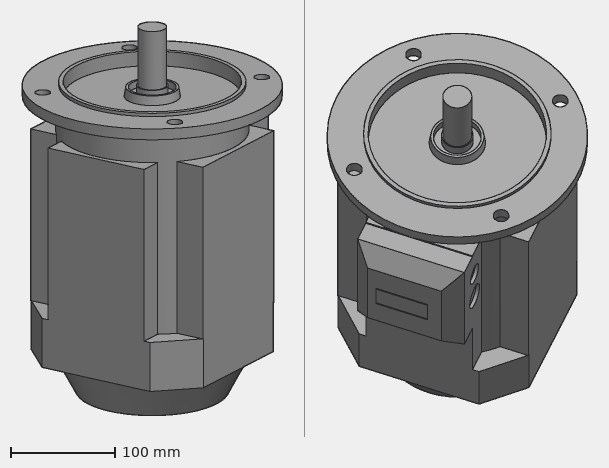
import cadquery as cq

total_height = 370.5
body_bottom = 40.0
notch_floor = 90.0
body_top = 265.3
flange_bottom = 300.0
flange_top = 311.2
spigot_top = 314.5

core_radius = 93.0
body_width = 198.0
body_depth = 196.5
side_rib_width = 124.0
front_rib_width = 110.5
foot_chamfer = (body_width - side_rib_width) / 2

bell_top_radius = 95.2
bell_bottom_radius = 73.7

flange_diameter = 250.0
spigot_radius = 90.0
recess_radius = 85.5
recess_floor = 299.7
bolt_hole_diameter = 15.0
bolt_circle_radius = 107.5
bolt_count = 4
first_bolt_angle = 45

collar_base_radius = 27.0
collar_top_radius = 25.5
collar_bore_radius = 23.0
collar_height = 9.3
collar_bore_depth = 7.5

shaft_diameter = 27.8
shoulder_radius = 15.2
shoulder_top = 311.0

box_width = front_rib_width
box_bottom = 153.5
box_top = 263.8
box_outer_y = 136.0
box_chamfer = 17.0
nameplate_width = 53.5
nameplate_x = 2.5
nameplate_height = 22.2
nameplate_thickness = 0.93

cable_entries = [(231.0, 10.5), (196.7, 12.5)]
cable_entry_y = 92.5
cable_entry_depth = 3.7


def cylinder(radius, bottom, top):
    """Round bar on the motor axis between two heights."""
    return cq.Workplane("XY").workplane(offset=bottom).circle(radius).extrude(top - bottom)


def block(width, depth, bottom, top):
    """Rectangular bar centred on the motor axis between two heights."""
    return cq.Workplane("XY").workplane(offset=bottom).rect(width, depth).extrude(top - bottom)


def make_bell():
    """Downward-narrowing conical end bell."""
    profile = cq.Workplane("XZ").polyline([
        (0, 0),
        (bell_bottom_radius, 0),
        (bell_top_radius, body_bottom),
        (0, body_bottom),
    ]).close()
    return profile.revolve(360, (0, 0, 0), (0, 1, 0))


def make_body():
    """Chamfered square foot below, round core with crossed ribs above."""
    foot = block(body_width, body_depth, body_bottom, notch_floor).edges("|Z").chamfer(foot_chamfer)
    core = cylinder(core_radius, notch_floor, flange_bottom)
    side_ribs = block(body_width, side_rib_width, notch_floor, body_top)
    front_ribs = block(front_rib_width, body_depth, notch_floor, body_top)
    return foot.union(core).union(side_ribs).union(front_ribs)


def make_flange():
    """Flange disc with raised spigot and bolt holes."""
    disc = cylinder(flange_diameter / 2, flange_bottom, flange_top)
    holes = (
        cq.Workplane("XY")
        .workplane(offset=flange_bottom)
        .polarArray(bolt_circle_radius, first_bolt_angle, 360, bolt_count)
        .circle(bolt_hole_diameter / 2)
        .extrude(flange_top - flange_bottom)
    )
    return disc.cut(holes).union(cylinder(spigot_radius, flange_top, spigot_top))


def make_collar():
    """Tapered ring with a shallow annular cup around the shaft."""
    rim_height = recess_floor + collar_height
    cup_floor = rim_height - collar_bore_depth
    profile = cq.Workplane("XZ").polyline([
        (0, recess_floor),
        (collar_base_radius, recess_floor),
        (collar_top_radius, rim_height),
        (collar_bore_radius, rim_height),
        (collar_bore_radius, cup_floor),
        (0, cup_floor),
    ]).close()
    return profile.revolve(360, (0, 0, 0), (0, 1, 0))


def make_shaft():
    """Output shaft standing on a slightly wider shoulder."""
    shoulder = cylinder(shoulder_radius, recess_floor, shoulder_top)
    return shoulder.union(cylinder(shaft_diameter / 2, shoulder_top, total_height))


def make_terminal_box():
    """Terminal box with a bevelled lid and a raised nameplate."""
    box_middle = (box_bottom + box_top) / 2
    box = (
        cq.Workplane("XY")
        .box(box_width, box_outer_y, box_top - box_bottom, centered=(True, False, True))
        .faces(">Y")
        .chamfer(box_chamfer)
        .translate((0, 0, box_middle))
    )
    nameplate = (
        cq.Workplane("XY")
        .box(nameplate_width, nameplate_thickness, nameplate_height, centered=(True, False, True))
        .translate((nameplate_x, box_outer_y, box_middle))
    )
    return box.union(nameplate)


def make_cable_entries():
    """Shallow round pockets sunk into the -X side of the terminal box."""
    pockets = cq.Workplane("YZ").workplane(offset=-box_width / 2)
    for height, radius in cable_entries:
        pockets = pockets.moveTo(cable_entry_y, height).circle(radius)
    return pockets.extrude(cable_entry_depth)


housing = make_bell().union(make_body()).union(make_flange()).union(make_terminal_box())
housing = housing.cut(cylinder(recess_radius, recess_floor, spigot_top))
housing = housing.cut(make_cable_entries())
result = housing.union(make_collar()).union(make_shaft())